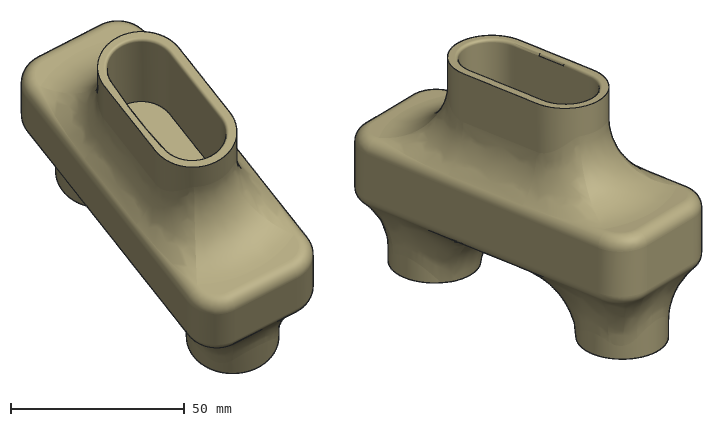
import cadquery as cq

LENGTH = 106.0
WIDTH = 41.0
HEIGHT = 74.8

BLOCK_BOTTOM = 22.2
BLOCK_TOP = 45.0
CORNER_RADIUS = 10.0
EDGE_RADIUS = 4.0

NECK_LENGTH = 52.7
NECK_WIDTH = 25.4
NECK_BLEND = 20.0

LEG_SPACING = 70.0
LEG_DIAMETER = 26.7
LEG_BLEND = 25.0

SOCKET_BACK_WALL = 3.2
SOCKET_FRONT_WALL = 2.8
SOCKET_BOW = 0.5
SOCKET_FLOOR = BLOCK_TOP
RIM_RADIUS = 1.0

BLOCK_HEIGHT = BLOCK_TOP - BLOCK_BOTTOM
OVERLAP = BLOCK_HEIGHT / 2
LEG_START = -8.5
MARGIN = 0.1


def edges_within(center, length, width):
    """Selector for edges lying flat inside a rectangle around a point."""
    x, y, z = center
    half_length = length / 2 + MARGIN
    half_width = width / 2 + MARGIN
    return cq.selectors.BoxSelector(
        (x - half_length, y - half_width, z - MARGIN),
        (x + half_length, y + half_width, z + MARGIN),
        boundingbox=True,
    )


def make_block():
    block = cq.Workplane("XY", origin=(0, 0, BLOCK_BOTTOM)).rect(LENGTH, WIDTH).extrude(BLOCK_HEIGHT)
    block = block.edges("|Z").fillet(CORNER_RADIUS)
    return block.edges("#Z").fillet(EDGE_RADIUS)


def add_left_leg(body):
    """Leg with a blend that rolls over onto the rounded edges of the block."""
    leg_x = -LEG_SPACING / 2
    leg_length = BLOCK_BOTTOM + OVERLAP - LEG_START
    leg = cq.Workplane("XY", origin=(leg_x, 0, LEG_START)).circle(LEG_DIAMETER / 2).extrude(leg_length)
    joint = edges_within((leg_x, 0, BLOCK_BOTTOM), LEG_DIAMETER, LEG_DIAMETER)
    return body.union(leg).edges(joint).fillet(LEG_BLEND)


def keep_left_half(body):
    """Trim at the middle plane X = 0 and at the bottom plane Z = 0."""
    half_length = LENGTH / 2
    region = cq.Workplane("XY", origin=(-half_length / 2, 0, 0)).rect(half_length, WIDTH).extrude(HEIGHT)
    return body.intersect(region)


def add_neck(body):
    start = BLOCK_TOP - OVERLAP
    neck = cq.Workplane("XY", origin=(0, 0, start)).slot2D(NECK_LENGTH, NECK_WIDTH).extrude(HEIGHT - start)
    joint = edges_within((0, 0, BLOCK_TOP), NECK_LENGTH, NECK_WIDTH)
    return body.union(neck).edges(joint).fillet(NECK_BLEND)


def make_socket():
    straight = (NECK_LENGTH - NECK_WIDTH) / 2
    back = NECK_WIDTH / 2 - SOCKET_BACK_WALL
    front = -NECK_WIDTH / 2 + SOCKET_FRONT_WALL
    middle = (back + front) / 2
    end = straight + (back - front) / 2
    return (
        cq.Workplane("XY", origin=(0, 0, SOCKET_FLOOR))
        .moveTo(-straight, back)
        .lineTo(straight, back)
        .threePointArc((end, middle), (straight, front))
        .threePointArc((0, front - SOCKET_BOW), (-straight, front))
        .threePointArc((-end, middle), (-straight, back))
        .close()
        .extrude(HEIGHT - SOCKET_FLOOR)
    )


left_half = keep_left_half(add_left_leg(make_block()))
body = left_half.union(left_half.mirror("YZ")).clean()

body = add_neck(body).cut(make_socket())

inner_rim = edges_within(
    (0, 0, HEIGHT),
    NECK_LENGTH - SOCKET_FRONT_WALL,
    NECK_WIDTH - SOCKET_FRONT_WALL,
)
result = body.edges(inner_rim).fillet(RIM_RADIUS)